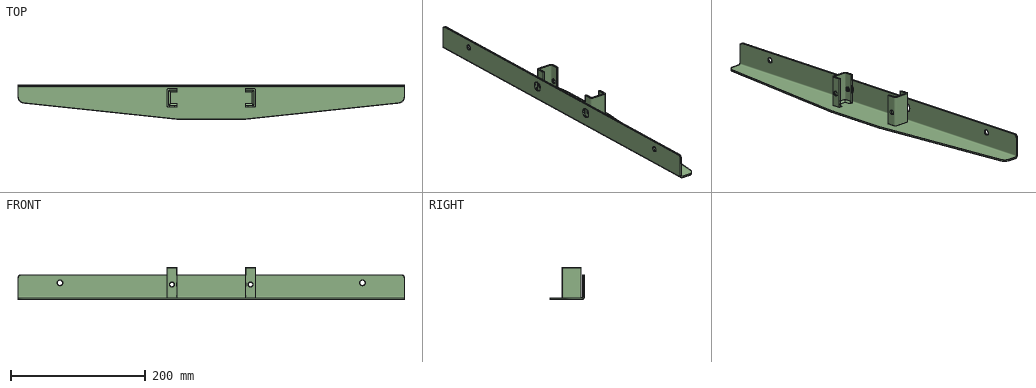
import cadquery as cq

length = 575.0
depth = 51.0
thickness = 2.5
wall_height = 37.0
angle_inner_radius = 2.0
end_depth = 26.0
front_edge_length = 100.0
floor_corner_radius = 10.0
wall_corner_radius = 5.0

overall_height = 47.5
channel_width = 15.0
channel_depth = 28.0
channel_gap = 5.0
channel_spacing = 132.0
channel_thickness = 2.5
channel_outer_radius = 3.0
channel_inner_radius = 2.0
weld_leg = 3.0

mounting_hole_diameter = 8.0
mounting_hole_spacing = 450.0
mounting_hole_height = 25.0
flange_hole_diameter = 7.0
flange_hole_inset = channel_width / 2
flange_hole_height = 22.5
access_hole_diameter = 14.0

sides = (-1, 1)
flange_hole_spacing = channel_spacing - 2 * flange_hole_inset


def make_angle():
    """Bent sheet with its back face on Y = 0 and its underside on Z = 0."""
    block = (
        cq.Workplane("XY")
        .box(length, depth, wall_height)
        .translate((0, -depth / 2, wall_height / 2))
        .edges("|X and >Y and <Z")
        .fillet(angle_inner_radius + thickness)
    )
    hollow = (
        cq.Workplane("XY")
        .box(length, depth, wall_height)
        .translate((0, -depth / 2 - thickness, wall_height / 2 + thickness))
        .edges("|X and >Y and <Z")
        .fillet(angle_inner_radius)
    )
    return block.cut(hollow).intersect(make_trim_body())


def make_trim_body():
    """Tapered floor outline carried up to the wall's rounded top corners."""
    return (
        cq.Workplane("XY")
        .polyline([
            (-length / 2, 0),
            (-length / 2, -end_depth),
            (-front_edge_length / 2, -depth),
            (front_edge_length / 2, -depth),
            (length / 2, -end_depth),
            (length / 2, 0),
        ])
        .close()
        .extrude(wall_height)
        .edges("|Z and (<X or >X) and (not >Y)")
        .fillet(floor_corner_radius)
        .edges("|Y and >Z")
        .fillet(wall_corner_radius)
    )


def channel_rectangle(side, inset, z):
    """Channel footprint at height z, inset at the web and flanges but not at the open side."""
    width = channel_width - inset
    center_x = side * (channel_spacing / 2 - inset - width / 2)
    center_y = -channel_gap - channel_depth / 2
    return (
        cq.Workplane("XY", origin=(center_x, center_y, z))
        .rect(width, channel_depth - 2 * inset)
    )


def make_channel(side):
    """Channel on the left (side -1) or right (side 1) with its web outermost."""
    height = overall_height - thickness
    bend_edges = "|Z and >X" if side > 0 else "|Z and <X"
    outside = (
        channel_rectangle(side, 0, thickness)
        .extrude(height)
        .edges(bend_edges)
        .fillet(channel_outer_radius)
    )
    inside = (
        channel_rectangle(side, channel_thickness, thickness)
        .extrude(height)
        .edges(bend_edges)
        .fillet(channel_inner_radius)
    )
    return outside.cut(inside)


def make_weld(side):
    """Sloped bead joining the floor to the inside of a channel's web and flanges."""
    bead = channel_rectangle(side, channel_thickness, thickness).extrude(weld_leg)
    lower_outline = channel_rectangle(side, channel_thickness + weld_leg, thickness).wires().val()
    upper_outline = channel_rectangle(side, channel_thickness, thickness + weld_leg).wires().val()
    open_middle = cq.Solid.makeLoft([lower_outline, upper_outline], True)
    return bead.cut(cq.Workplane(open_middle))


def make_hole_pair(spacing, z, diameter, reach):
    """Cutters along Y, running forward from the back face by the given reach."""
    return (
        cq.Workplane("XZ", origin=(0, 0, z))
        .pushPoints([(side * spacing / 2, 0) for side in sides])
        .circle(diameter / 2)
        .extrude(reach)
    )


result = make_angle()
for side in sides:
    result = result.union(make_channel(side)).union(make_weld(side))

result = result.cut(
    make_hole_pair(mounting_hole_spacing, mounting_hole_height, mounting_hole_diameter, thickness)
)
result = result.cut(make_hole_pair(flange_hole_spacing, flange_hole_height, flange_hole_diameter, depth))
result = result.cut(make_hole_pair(flange_hole_spacing, flange_hole_height, access_hole_diameter, thickness))